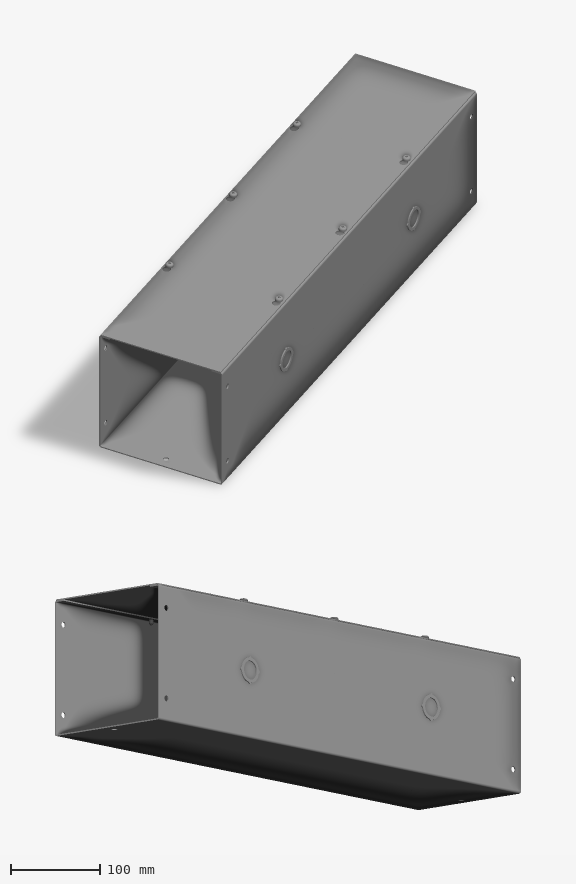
import cadquery as cq

length = 609.5
overall_width = 159.0
overall_height = 160.0
sheet = 1.5
bend_radius = 2.5

screw_spacing = 152.5
screw_inset = 8.5
head_diameter = 9.0
head_height = 3.95
head_fillet = 2.15
recess_length = 3.5
recess_width = 1.0
recess_depth = 2.0
shank_diameter = 5.0
screw_length = 9.0
tip_chamfer = 2.0

knockout_rise = 1.5
knockout_diameter = 28.5
knockout_span = 32.0
pry_tab_diameter = 4.0
core_diameter = 21.5
lip_width = 13.5
hole_diameter = 7.0
hole_end_inset = 13.0
wall_hole_spacing = 103.0

cover_inset = 2.0
keyhole_diameter = 10.0
keyhole_offset = 7.0

trough_width = overall_width - 2 * knockout_rise
cover_top = overall_height - head_height
trough_height = cover_top - sheet
cover_width = trough_width - 2 * cover_inset
mid_height = trough_height / 2
hole_y = length / 2 - hole_end_inset
screw_x = trough_width / 2 - screw_inset
screw_points = [
    (side * screw_x, row * screw_spacing)
    for side in (-1, 1)
    for row in (-1, 0, 1)
]


def bar_along_y(width, height, bottom, radius):
    """Full-length bar with rounded long edges."""
    bar = cq.Workplane("XY").box(width, length, height, centered=(True, True, False))
    return bar.edges("|Y").fillet(radius).translate((0, 0, bottom))


def x_cylinder(diameter, start, end, y, z):
    """Cylinder parallel to X between two X positions."""
    plane = cq.Workplane("YZ", origin=(start, y, z))
    return plane.circle(diameter / 2).extrude(end - start)


def make_knockout_ring(side, y):
    """Ring with four pry tabs, pushed outward from a side wall round a level core."""
    wall_face = side * trough_width / 2
    outer_face = side * overall_width / 2
    ring = x_cylinder(knockout_diameter, wall_face, outer_face, y, mid_height)
    tab_reach = (knockout_span - pry_tab_diameter) / 2
    for dy, dz in ((1, 0), (-1, 0), (0, 1), (0, -1)):
        tab = x_cylinder(
            pry_tab_diameter, wall_face, outer_face, y + dy * tab_reach, mid_height + dz * tab_reach
        )
        ring = ring.union(tab)
    return ring.cut(x_cylinder(core_diameter, wall_face, outer_face, y, mid_height))


def make_trough():
    """Open-ended channel with inward lips, knockouts and mounting holes."""
    outside = bar_along_y(trough_width, trough_height, 0, bend_radius)
    inside = bar_along_y(
        trough_width - 2 * sheet, trough_height - 2 * sheet, sheet, bend_radius - sheet
    )
    mouth_width = trough_width - 2 * lip_width
    mouth = cq.Workplane("XY", origin=(0, 0, mid_height)).box(
        mouth_width, length, trough_height, centered=(True, True, False)
    )
    trough = outside.cut(inside).cut(mouth)

    for side in (-1, 1):
        for row in (-1, 1):
            trough = trough.union(make_knockout_ring(side, row * screw_spacing))

    for y in (-hole_y, hole_y):
        for level in (-1, 1):
            z = mid_height + level * wall_hole_spacing / 2
            trough = trough.cut(x_cylinder(hole_diameter, -trough_width, trough_width, y, z))

    floor_holes = (
        cq.Workplane("XY").pushPoints([(0, -hole_y), (0, hole_y)])
        .circle(hole_diameter / 2).extrude(sheet)
    )
    lip_holes = (
        cq.Workplane("XY", origin=(0, 0, trough_height - sheet)).pushPoints(screw_points)
        .circle(shank_diameter / 2).extrude(sheet)
    )
    return trough.cut(floor_holes).cut(lip_holes)


def make_cover():
    """Flat cover with a keyhole at every screw."""
    plane = cq.Workplane("XY", origin=(0, 0, trough_height))
    cover = plane.rect(cover_width, length).extrude(sheet)
    for x, y in screw_points:
        entry = plane.center(x, y - keyhole_offset).circle(keyhole_diameter / 2).extrude(sheet)
        seat = plane.center(x, y).circle(shank_diameter / 2).extrude(sheet)
        neck = (
            plane.center(x, y - keyhole_offset / 2)
            .rect(shank_diameter, keyhole_offset).extrude(sheet)
        )
        cover = cover.cut(entry).cut(seat).cut(neck)
    return cover


def make_screw(x, y):
    """Round-headed cross-recess screw with a chamfered tip, seated on the cover."""
    plane = cq.Workplane("XY", origin=(x, y, cover_top))
    shank = plane.circle(shank_diameter / 2).extrude(-screw_length)
    shank = shank.faces("<Z").chamfer(tip_chamfer)

    head = plane.circle(head_diameter / 2).extrude(head_height)
    head = head.faces(">Z").edges().fillet(head_fillet)
    recess_plane = plane.workplane(offset=head_height)
    for size in ((recess_length, recess_width), (recess_width, recess_length)):
        head = head.cut(recess_plane.rect(*size).extrude(-recess_depth))
    return head.union(shank)


trough = make_trough()
cover = make_cover()
screws = [make_screw(x, y).val() for x, y in screw_points]

result = cq.Compound.makeCompound([trough.val(), cover.val(), *screws])